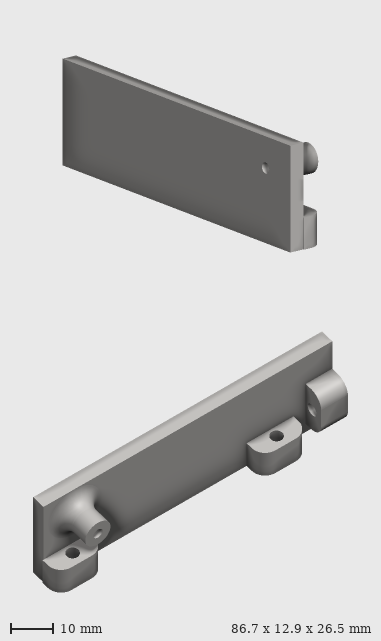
import cadquery as cq

total_length = 86.7
plate_length = 86.4
plate_thickness = 4.0
plate_height = 26.5

lug_width = 14.05
lug_projection = 6.0
lug_thickness = 8.0
lug_corner_radius = 4.0
lug_hole_diameter = 3.5
lug_hole_offset = 2.5

end_lug_center_z = 9.9
left_lug_center_x = 18.6
right_lug_center_x = total_length - lug_width / 2

boss_diameter = 7.5
boss_top_y = 12.9
boss_x = 77.1
boss_z = 18.6
boss_flare_radius = 4.0
boss_hole_diameter = 2.8


def make_lug():
    """Lug centred on X = 0, rising along +Y from the plate's rear face, extruded from Z = 0."""
    root_y = plate_thickness
    tip_y = plate_thickness + lug_projection
    lug = (
        cq.Workplane("XY")
        .center(0, (root_y + tip_y) / 2)
        .rect(lug_width, tip_y - root_y)
        .extrude(lug_thickness)
        .edges("|Z and >Y")
        .fillet(lug_corner_radius)
    )
    hole = (
        cq.Workplane("XY")
        .center(0, plate_thickness + lug_hole_offset)
        .circle(lug_hole_diameter / 2)
        .extrude(lug_thickness)
    )
    return lug.cut(hole)


def make_boss():
    """Round boss whose foot flares out into the plate along a quarter circle."""
    radius = boss_diameter / 2
    flare_end_y = plate_thickness + boss_flare_radius
    return (
        cq.Workplane("XY")
        .lineTo(radius + boss_flare_radius, 0)
        .lineTo(radius + boss_flare_radius, plate_thickness)
        .radiusArc((radius, flare_end_y), boss_flare_radius)
        .lineTo(radius, boss_top_y)
        .lineTo(0, boss_top_y)
        .close()
        .revolve(360, (0, 0, 0), (0, 1, 0))
        .translate((boss_x, 0, boss_z))
    )


plate = cq.Workplane("XY").box(plate_length, plate_thickness, plate_height, centered=False)
result = plate.union(make_boss())

for lug_center_x in (left_lug_center_x, right_lug_center_x):
    result = result.union(make_lug().translate((lug_center_x, 0, 0)))

end_lug = make_lug().rotate((0, 0, 0), (0, 1, 0), 90)
result = result.union(end_lug.translate((0, 0, end_lug_center_z)))

boss_hole = (
    cq.Workplane("XZ")
    .center(boss_x, boss_z)
    .circle(boss_hole_diameter / 2)
    .extrude(-boss_top_y)
)
result = result.cut(boss_hole)